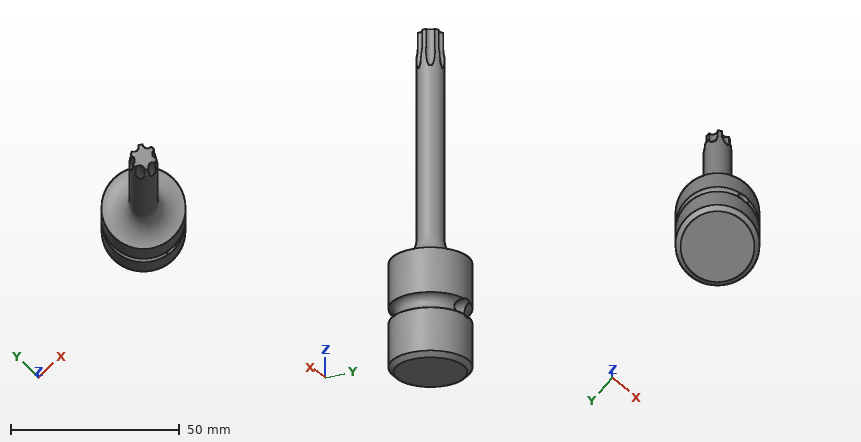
import cadquery as cq
import math

total_length = 110
body_radius = 25.0 / 2
body_height = 35.0
shank_radius = 4.2
neck_radius = 8.0
bottom_chamfer = 1.5

groove_height = 5.0
groove_depth = 2.2
groove_center_z = 18.0
pin_hole_diameter = 5.9

lobe_count = 6
lobe_radius = 3.8
root_radius = 2.8
tip_straight_length = 5.5
end_face_radius = 2.5
end_chamfer_height = 0.3
lobe_runout_radius = 9.9
flute_radius = 1.4
flute_runout_radius = 17.6
flute_runout_angle = 30

straight_base_z = total_length - tip_straight_length


def runout_drop(radius, rise):
    """Axial length in which an arc of the given radius, starting along Z, moves outward by rise."""
    return math.sqrt(radius**2 - (radius - rise) ** 2)


def turned_blank():
    """Body, concave neck, shank and the slightly thinner tip as one turned profile."""
    neck_foot = shank_radius + neck_radius
    neck_top = body_height + neck_radius
    arc_inset = neck_radius * (1 - math.sqrt(0.5))
    groove_bottom = groove_center_z - groove_height / 2
    groove_top = groove_center_z + groove_height / 2
    shank_top = straight_base_z - runout_drop(lobe_runout_radius, shank_radius - lobe_radius)
    return (
        cq.Workplane("XZ")
        .lineTo(body_radius - bottom_chamfer, 0)
        .lineTo(body_radius, bottom_chamfer)
        .lineTo(body_radius, groove_bottom)
        .threePointArc((body_radius - groove_depth, groove_center_z), (body_radius, groove_top))
        .lineTo(body_radius, body_height)
        .lineTo(neck_foot, body_height)
        .threePointArc((shank_radius + arc_inset, body_height + arc_inset), (shank_radius, neck_top))
        .lineTo(shank_radius, shank_top)
        .radiusArc((lobe_radius, straight_base_z), lobe_runout_radius)
        .lineTo(lobe_radius, total_length - end_chamfer_height)
        .lineTo(end_face_radius, total_length)
        .lineTo(0, total_length)
        .close()
        .revolve(360, (0, 0, 0), (0, 1, 0))
    )


def pin_hole():
    """Through hole along Y at the middle of the groove."""
    return (
        cq.Workplane("XZ", origin=(0, 0, groove_center_z))
        .circle(pin_hole_diameter / 2)
        .extrude(body_radius, both=True)
    )


def flute_cutter():
    """Round flute on the -Y side, straight along the tip and curving out of the shank below it."""
    base = cq.Workplane("XY", origin=(0, -root_radius - flute_radius, straight_base_z))
    straight = base.circle(flute_radius).extrude(tip_straight_length)
    pivot_y = flute_radius - flute_runout_radius
    runout = base.circle(flute_radius).revolve(flute_runout_angle, (0, pivot_y, 0), (-1, pivot_y, 0))
    return straight.union(runout)


result = turned_blank().cut(pin_hole())

flute = flute_cutter()
for index in range(lobe_count):
    result = result.cut(flute.rotate((0, 0, 0), (0, 0, 1), index * 360 / lobe_count))